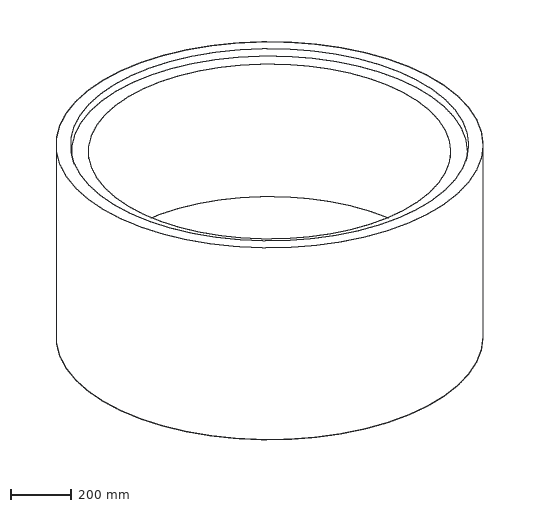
import cadquery as cq

outer_diameter = 1414.0
total_height = 725.0

base_thickness = 200.0
well_diameter = 1199.0

recess_top_diameter = 1318.0
recess_floor_diameter = 1310.0
recess_depth = 25.0

outer_radius = outer_diameter / 2
well_radius = well_diameter / 2
recess_top_radius = recess_top_diameter / 2
recess_floor_radius = recess_floor_diameter / 2
ledge_height = total_height - recess_depth

half_section = [
    (0, 0),
    (outer_radius, 0),
    (outer_radius, total_height),
    (recess_top_radius, total_height),
    (recess_floor_radius, ledge_height),
    (well_radius, ledge_height),
    (well_radius, base_thickness),
    (0, base_thickness),
]

result = (
    cq.Workplane("XZ")
    .polyline(half_section)
    .close()
    .revolve(360, (0, 0, 0), (0, 1, 0))
)